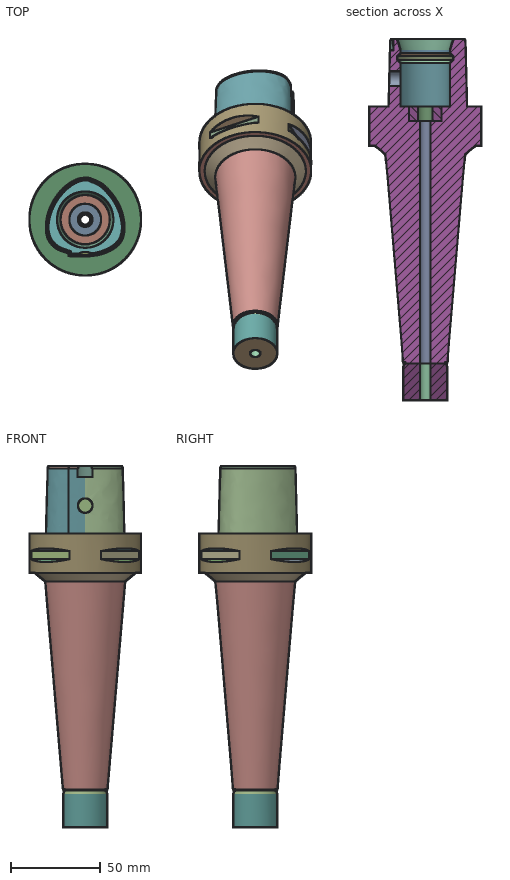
import cadquery as cq
import math

total_length = 203.0

shank_length = 38.0
shank_base_radius = 22.1
lobe_height = 1.45
half_curve_intervals = 12
taper_per_length = 1 / 40
shank_chamfer_height = 1.5
shank_chamfer_width = 0.6

flange_radius = 31.5
flange_height = 22.1
flange_cone_top_radius = 28.5
flange_cone_height = 4.9
neck_top_radius = 22.5
neck_bottom_radius = 12.5

tip_length = 20.7
tip_radius = 12.4
tip_chamfer_height = 2.0
tip_chamfer_width = 0.5
joint_radius = 11.4
joint_gap = 0.6

slot_count = 4
first_slot_direction = 45
slot_floor_distance = 27.6
slot_floor_height = 4.5
slot_flank_rise = 1.6
slot_center_z = 152.9

notch_depth = 6.3
notch_cutter_radius = 6.0
notch_floor_distance = 18.0
chip_hole_radius = 4.0
chip_hole_z = 180.7
chip_hole_floor_distance = 14.0

mouth_radius = 15.8
bore_radius = 13.8
mouth_depth = 6.3
groove_start_depth = 8.0
groove_radius = 15.6
groove_end_depth = 13.5

insert_radius = 9.0
insert_height = 8.1
insert_hole_radius = 4.0
channel_radius = 2.8

shank_base_z = total_length - shank_length
flange_bottom_z = shank_base_z - flange_height
neck_top_z = flange_bottom_z - flange_cone_height
neck_bottom_z = tip_length + joint_gap
bore_floor_z = shank_base_z
insert_bottom_z = bore_floor_z - insert_height


def revolve_profile(points):
    """Solid of revolution about Z from (radius, z) points."""
    return cq.Workplane("XZ").polyline(points).close().revolve(360, (0, 0, 0), (0, 1, 0))


def lobed_point(mean_radius, angle):
    """Point of the three-lobed curve where its outward normal has the given angle."""
    reach = mean_radius - lobe_height * math.sin(3 * angle)
    slope = -3 * lobe_height * math.cos(3 * angle)
    x = reach * math.cos(angle) - slope * math.sin(angle)
    y = reach * math.sin(angle) + slope * math.cos(angle)
    return cq.Vector(x, y)


def half_lobed_edge(mean_radius, z, start_angle):
    """Half of the three-lobed curve, from its normal at the start angle to the opposite normal."""
    step = math.pi / half_curve_intervals
    angles = [start_angle + step * index for index in range(half_curve_intervals + 1)]
    points = [lobed_point(mean_radius, angle) + cq.Vector(0, 0, z) for angle in angles]
    tangents = [cq.Vector(-math.sin(angle), math.cos(angle)) for angle in (angles[0], angles[-1])]
    return cq.Edge.makeSpline(points, tangents)


def lobed_edges(mean_radius, z):
    """Both halves of the three-lobed curve of constant width 2 * mean_radius."""
    return [half_lobed_edge(mean_radius, z, start) for start in (-math.pi / 2, math.pi / 2)]


def make_shank():
    """Tapered lobed shank with a chamfered top rim."""
    chamfer_z = total_length - shank_chamfer_height
    chamfer_radius = shank_base_radius - taper_per_length * (chamfer_z - shank_base_z)
    base = lobed_edges(shank_base_radius, shank_base_z)
    shoulder = lobed_edges(chamfer_radius, chamfer_z)
    rim = lobed_edges(chamfer_radius - shank_chamfer_width, total_length)

    faces = [cq.Face.makeFromWires(cq.Wire.assembleEdges(edges)) for edges in (base, rim)]
    for lower, upper in ((base, shoulder), (shoulder, rim)):
        faces += [cq.Face.makeRuledSurface(low, high) for low, high in zip(lower, upper)]
    return cq.Workplane("XY").add(cq.Solid.makeSolid(cq.Shell.makeShell(faces)).fix())


def make_flange_and_neck():
    """Flange, conical underside and long tapered neck, ending in a narrow step at the tip joint."""
    return revolve_profile([
        (0, shank_base_z),
        (flange_radius, shank_base_z),
        (flange_radius, flange_bottom_z),
        (flange_cone_top_radius, flange_bottom_z),
        (neck_top_radius, neck_top_z),
        (neck_bottom_radius, neck_bottom_z),
        (joint_radius, neck_bottom_z),
        (joint_radius, tip_length),
        (0, tip_length),
    ])


def make_clamping_bore():
    """Cutter for the conical mouth, the undercut clamping groove and the bore below it."""
    groove_slope = groove_radius - bore_radius
    return revolve_profile([
        (0, total_length),
        (mouth_radius, total_length),
        (bore_radius, total_length - mouth_depth),
        (bore_radius, total_length - groove_start_depth),
        (groove_radius, total_length - groove_start_depth - groove_slope),
        (groove_radius, total_length - groove_end_depth + groove_slope),
        (bore_radius, total_length - groove_end_depth),
        (bore_radius, bore_floor_z),
        (0, bore_floor_z),
    ])


def make_gripper_slot(direction):
    """Trapezoidal slot with a flat floor, cut square to the given direction in degrees."""
    half_floor = slot_floor_height / 2
    half_mouth = half_floor + slot_flank_rise
    return (
        cq.Workplane("XZ")
        .polyline([
            (slot_floor_distance, slot_center_z - half_floor),
            (flange_radius, slot_center_z - half_mouth),
            (flange_radius, slot_center_z + half_mouth),
            (slot_floor_distance, slot_center_z + half_floor),
        ])
        .close()
        .extrude(flange_radius, both=True)
        .rotate((0, 0, 0), (0, 0, 1), direction)
    )


def make_drive_notch():
    """Cutter for the concave notch in the top rim."""
    axis_y = -(notch_floor_distance + notch_cutter_radius)
    return (
        cq.Workplane("XY", origin=(0, axis_y, total_length - notch_depth))
        .circle(notch_cutter_radius)
        .extrude(notch_depth)
    )


def make_chip_hole():
    """Cutter for the blind hole in the side of the shank."""
    return (
        cq.Workplane("XZ", origin=(0, -chip_hole_floor_distance, chip_hole_z))
        .circle(chip_hole_radius)
        .extrude(flange_radius - chip_hole_floor_distance)
    )


def make_cylinder(radius, bottom_z, top_z):
    """Cylinder on the Z axis between two levels."""
    return cq.Workplane("XY", origin=(0, 0, bottom_z)).circle(radius).extrude(top_z - bottom_z)


def make_holder():
    """Shank, flange and neck in one piece, with all their cuts."""
    holder = make_flange_and_neck().union(make_shank())
    holder = holder.cut(make_clamping_bore())
    holder = holder.cut(make_cylinder(insert_radius, insert_bottom_z, bore_floor_z))
    holder = holder.cut(make_cylinder(channel_radius, 0, insert_bottom_z))
    for index in range(slot_count):
        holder = holder.cut(make_gripper_slot(first_slot_direction + index * 360 / slot_count))
    return holder.cut(make_drive_notch()).cut(make_chip_hole())


def make_insert():
    """Ring set flush into the floor of the clamping bore."""
    ring = make_cylinder(insert_radius, insert_bottom_z, bore_floor_z)
    return ring.cut(make_cylinder(insert_hole_radius, insert_bottom_z, bore_floor_z))


def make_tip():
    """Cylindrical tip with a chamfered upper rim and the coolant channel through it."""
    return revolve_profile([
        (channel_radius, 0),
        (tip_radius, 0),
        (tip_radius, tip_length - tip_chamfer_height),
        (tip_radius - tip_chamfer_width, tip_length),
        (channel_radius, tip_length),
    ])


holder = make_holder()
insert = make_insert()
tip = make_tip()

result = cq.Compound.makeCompound([holder.val(), insert.val(), tip.val()])